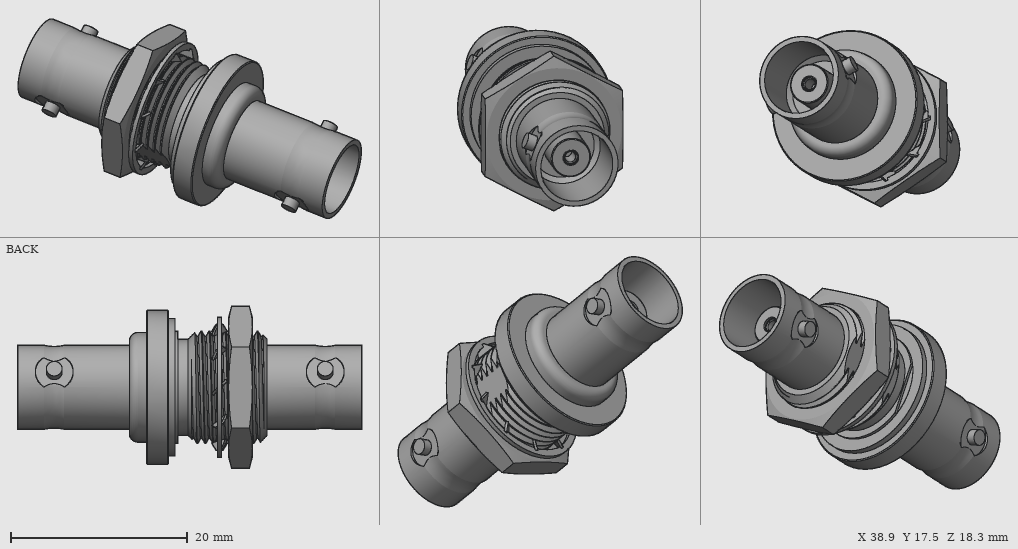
import cadquery as cq
import math


OVERALL_LENGTH = 38.89
CLOCK_ANGLE = 22.5

BARREL_RADIUS = 4.76
BORE_RADIUS = 4.15
FLOOR_RADIUS = 3.58
SOCKET_DEPTH = 7.5
POST_RADIUS = 2.27
POST_FACE_DEPTH = 3.2
POST_CHAMFER = 0.11
CONTACT_RECESS_RADIUS = 0.89
CONTACT_RECESS_DEPTH = 0.25
CONTACT_HOLE_RADIUS = 0.62
CONTACT_HOLE_CHAMFER = 0.13
CONTACT_HOLE_DEPTH = 2.5

PIN_DIAMETER = 1.78
PIN_TIP_RADIUS = 5.5
PIN_OFFSET = 4.13
PIN_ROOT_RADIUS = 4.3
SPOTFACE_DIAMETER = 4.28
SPOTFACE_RADIUS = 4.42
BARREL_GROOVE_WIDTH = 2.25
BARREL_GROOVE_DEPTH = 0.13

THREAD_RADIUS = 6.36
THREAD_PITCH = 25.4 / 28
THREAD_DEPTH = 0.56
THREAD_HALF_ANGLE = 30
THREAD_CREST_WIDTH = 0.1
THREAD_START = 10.70
THREAD_END = 19.62
THREAD_GROOVE_START = 9.97
THREAD_GROOVE_TURNS = 11
NECK_RADIUS = 5.45
FLAT_DISTANCE = 5.6

LIP_START = 20.79
LIP_END = 21.11
FLANGE_START = 21.84
FLANGE_END = 24.32
FLANGE_RADIUS = 17.48 / 2
FLANGE_CHAMFER = 0.12
COLLAR_END = 26.28
COLLAR_RADIUS = 6.22
COLLAR_ROUND = 1.0

GASKET_RADIUS = 7.79

NUT_START = 12.34
NUT_THICKNESS = 2.74
NUT_ACROSS_CORNERS = 18.33
NUT_HOLE_RADIUS = 6.4
NUT_FACE_RADIUS = 7.8
NUT_CHAMFER_DEPTH = 0.36

WASHER_MIDDLE = 16.08
WASHER_THICKNESS = 0.5
WASHER_RADIUS = 7.94
WASHER_RIM_INNER_RADIUS = 7.1
TOOTH_COUNT = 10
TOOTH_TWIST = 45
TOOTH_TIP_RADIUS = 6.4
TOOTH_TIP_WIDTH = 2.25
TOOTH_ROOT_WIDTH = 0.9
TOOTH_THICKNESS = 0.3
TOOTH_ROOT_OVERLAP = 0.3

AXIS_START = (0, 0, 0)
AXIS_END = (1, 0, 0)


def revolve_about_x(profile):
    return profile.close().revolve(360, AXIS_START, AXIS_END)


def disc(start, end, radius):
    return cq.Workplane("YZ", origin=(start, 0, 0)).circle(radius).extrude(end - start)


def radial_cylinder(x, inner, outer, diameter):
    """Cylinder pointing along +Y, from one distance to another off the X axis."""
    plane = cq.Plane(origin=(x, inner, 0), xDir=(1, 0, 0), normal=(0, 1, 0))
    return cq.Workplane(plane).circle(diameter / 2).extrude(outer - inner)


def turned(shape, angle):
    return shape.rotate(AXIS_START, AXIS_END, angle)


def barrel_groove():
    """Shallow ring groove with a circular-arc section."""
    half_width = BARREL_GROOVE_WIDTH / 2
    return revolve_about_x(
        cq.Workplane("XY")
        .moveTo(PIN_OFFSET - half_width, BARREL_RADIUS)
        .threePointArc(
            (PIN_OFFSET, BARREL_RADIUS - BARREL_GROOVE_DEPTH),
            (PIN_OFFSET + half_width, BARREL_RADIUS),
        )
        .lineTo(PIN_OFFSET + half_width, PIN_TIP_RADIUS)
        .lineTo(PIN_OFFSET - half_width, PIN_TIP_RADIUS)
    )


def socket_cavity():
    """Bore with a beveled floor corner, around a central post that has a recessed contact hole."""
    contact_face = POST_FACE_DEPTH + CONTACT_RECESS_DEPTH
    hole_bottom = POST_FACE_DEPTH + CONTACT_HOLE_DEPTH
    return revolve_about_x(
        cq.Workplane("XY")
        .moveTo(0, 0)
        .lineTo(0, BORE_RADIUS)
        .lineTo(SOCKET_DEPTH - (BORE_RADIUS - FLOOR_RADIUS), BORE_RADIUS)
        .lineTo(SOCKET_DEPTH, FLOOR_RADIUS)
        .lineTo(SOCKET_DEPTH, POST_RADIUS)
        .lineTo(POST_FACE_DEPTH + POST_CHAMFER, POST_RADIUS)
        .lineTo(POST_FACE_DEPTH, POST_RADIUS - POST_CHAMFER)
        .lineTo(POST_FACE_DEPTH, CONTACT_RECESS_RADIUS)
        .lineTo(contact_face, CONTACT_RECESS_RADIUS)
        .lineTo(contact_face, CONTACT_HOLE_RADIUS + CONTACT_HOLE_CHAMFER)
        .lineTo(contact_face + CONTACT_HOLE_CHAMFER, CONTACT_HOLE_RADIUS)
        .lineTo(hole_bottom, CONTACT_HOLE_RADIUS)
        .lineTo(hole_bottom, 0)
    )


def socket_barrel(length):
    """Left-hand socket barrel with its two bayonet pins; the right-hand one is its mirror image."""
    barrel = disc(0, length, BARREL_RADIUS).cut(barrel_groove())
    for side in (0, 180):
        spotface = radial_cylinder(PIN_OFFSET, SPOTFACE_RADIUS, PIN_TIP_RADIUS, SPOTFACE_DIAMETER)
        barrel = barrel.cut(turned(spotface, CLOCK_ANGLE + side))
    for side in (0, 180):
        pin = radial_cylinder(PIN_OFFSET, PIN_ROOT_RADIUS, PIN_TIP_RADIUS, PIN_DIAMETER)
        barrel = barrel.union(turned(pin, CLOCK_ANGLE + side))
    return barrel.cut(socket_cavity())


def thread_groove():
    """Right-hand groove with 60-degree flanks and a narrow flat root, swept along a helix about X."""
    overshoot = 0.05
    flank_slope = math.tan(math.radians(THREAD_HALF_ANGLE))
    root_radius = THREAD_RADIUS - THREAD_DEPTH
    top_radius = THREAD_RADIUS + overshoot
    root_half_width = (THREAD_PITCH - THREAD_CREST_WIDTH) / 2 - THREAD_DEPTH * flank_slope
    top_half_width = root_half_width + (THREAD_DEPTH + overshoot) * flank_slope
    helix = cq.Wire.makeHelix(THREAD_PITCH, THREAD_PITCH * THREAD_GROOVE_TURNS, root_radius)
    groove = (
        cq.Workplane("XZ")
        .moveTo(root_radius, -root_half_width)
        .lineTo(root_radius, root_half_width)
        .lineTo(top_radius, top_half_width)
        .lineTo(top_radius, -top_half_width)
        .close()
        .sweep(cq.Workplane(obj=helix), isFrenet=True)
    )
    return groove.rotate((0, 0, 0), (0, 1, 0), 90).translate((THREAD_GROOVE_START, 0, 0))


def d_flat_cut():
    """Block that takes the D-flat off the thread and the lip."""
    block = cq.Workplane("XY").box(
        LIP_END - THREAD_START, THREAD_RADIUS, 2 * THREAD_RADIUS, centered=(False, False, True)
    )
    return turned(block.translate((THREAD_START, FLAT_DISTANCE, 0)), CLOCK_ANGLE + 180)


def threaded_sleeve():
    """Thread cut along an overlong rod, trimmed to the chamfered sleeve, then the neck and the lip."""
    rod_margin = 2 * THREAD_PITCH
    rod = disc(THREAD_START - rod_margin, THREAD_END + rod_margin, THREAD_RADIUS)
    envelope = disc(THREAD_START, THREAD_END, THREAD_RADIUS).edges().chamfer(THREAD_RADIUS - NECK_RADIUS)
    sleeve = rod.cut(thread_groove()).intersect(envelope)
    neck = disc(THREAD_START, LIP_END, NECK_RADIUS)
    lip = disc(LIP_START, LIP_END, THREAD_RADIUS)
    return sleeve.union(neck).union(lip).cut(d_flat_cut())


def make_shell():
    seat = disc(LIP_END, FLANGE_START, THREAD_RADIUS)
    flange = disc(FLANGE_START, FLANGE_END, FLANGE_RADIUS).edges().chamfer(FLANGE_CHAMFER)
    collar = disc(FLANGE_END, COLLAR_END, COLLAR_RADIUS).faces(">X").edges().fillet(COLLAR_ROUND)
    left_barrel = socket_barrel(THREAD_START)
    right_barrel = socket_barrel(OVERALL_LENGTH - COLLAR_END)
    right_barrel = right_barrel.mirror("YZ").translate((OVERALL_LENGTH, 0, 0))
    shell = threaded_sleeve()
    for section in (seat, flange, collar, left_barrel, right_barrel):
        shell = shell.union(section)
    return shell


def make_gasket():
    return disc(LIP_END, FLANGE_START, GASKET_RADIUS).cut(disc(LIP_END, FLANGE_START, THREAD_RADIUS))


def make_nut():
    """Hex nut with corners at +Z and -Z, chamfered on both faces."""
    end = NUT_START + NUT_THICKNESS
    corner_radius = NUT_ACROSS_CORNERS / 2
    hexagon = (
        cq.Workplane("YZ", origin=(NUT_START, 0, 0))
        .transformed(rotate=(0, 0, 90))
        .polygon(6, NUT_ACROSS_CORNERS)
        .extrude(NUT_THICKNESS)
    )
    chamfer_envelope = revolve_about_x(
        cq.Workplane("XY")
        .moveTo(NUT_START, NUT_HOLE_RADIUS)
        .lineTo(NUT_START, NUT_FACE_RADIUS)
        .lineTo(NUT_START + NUT_CHAMFER_DEPTH, corner_radius)
        .lineTo(end - NUT_CHAMFER_DEPTH, corner_radius)
        .lineTo(end, NUT_FACE_RADIUS)
        .lineTo(end, NUT_HOLE_RADIUS)
    )
    return hexagon.intersect(chamfer_envelope)


def washer_tooth():
    """Plate tapering outward from its tip, pointing along +Y and twisted about that direction."""
    root_radius = WASHER_RIM_INNER_RADIUS + TOOTH_ROOT_OVERLAP
    plate = (
        cq.Workplane("XY")
        .moveTo(-TOOTH_TIP_WIDTH / 2, TOOTH_TIP_RADIUS)
        .lineTo(TOOTH_TIP_WIDTH / 2, TOOTH_TIP_RADIUS)
        .lineTo(TOOTH_ROOT_WIDTH / 2, root_radius)
        .lineTo(-TOOTH_ROOT_WIDTH / 2, root_radius)
        .close()
        .extrude(TOOTH_THICKNESS / 2, both=True)
    )
    return plate.rotate((0, 0, 0), (0, 1, 0), TOOTH_TWIST).translate((WASHER_MIDDLE, 0, 0))


def make_lock_washer():
    start = WASHER_MIDDLE - WASHER_THICKNESS / 2
    end = WASHER_MIDDLE + WASHER_THICKNESS / 2
    washer = disc(start, end, WASHER_RADIUS).cut(disc(start, end, WASHER_RIM_INNER_RADIUS))
    tooth = washer_tooth()
    for index in range(TOOTH_COUNT):
        washer = washer.union(turned(tooth, index * 360 / TOOTH_COUNT))
    return washer


shell = make_shell()
nut = make_nut()
lock_washer = make_lock_washer()
gasket = make_gasket()

bodies = [shell, nut, lock_washer, gasket]
result = cq.Compound.makeCompound([body.solids().val() for body in bodies])